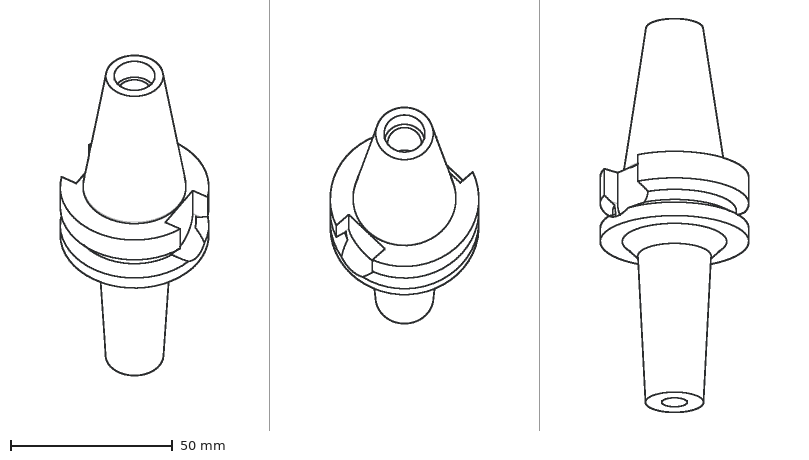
import cadquery as cq

total_length = 123.4
gauge_height = 75.0
flange_top = 74.3
flange_bottom = 53.1
nose_top = 48.2

flange_diameter = 46.0
flange_radius = flange_diameter / 2
gauge_radius = 15.9
taper_end_radius = 8.9
shoulder_radius = 16.2
nose_root_radius = 11.4
nose_end_radius = 9.0

groove_radius = 19.1
groove_floor_bottom = 59.8
groove_floor_top = 63.2
groove_flank_height = 2.3

slot_width = 16.2
slot_bottom = 56.0
slot_face_distance = 16.2

pilot_radius = 6.3
pilot_depth = 7.0
thread_radius = 5.2
thread_depth = 24.1
through_radius = 4.0


def revolved_body():
    """Taper shank, grooved flange and tapered nose as one turned profile."""
    profile = [
        (0, 0),
        (nose_end_radius, 0),
        (nose_root_radius, nose_top),
        (shoulder_radius, flange_bottom),
        (flange_radius, flange_bottom),
        (flange_radius, groove_floor_bottom - groove_flank_height),
        (groove_radius, groove_floor_bottom),
        (groove_radius, groove_floor_top),
        (flange_radius, groove_floor_top + groove_flank_height),
        (flange_radius, flange_top),
        (gauge_radius, flange_top),
        (gauge_radius, gauge_height),
        (taper_end_radius, total_length),
        (0, total_length),
    ]
    return cq.Workplane("XZ").polyline(profile).close().revolve(360, (0, 0, 0), (0, 1, 0))


def drive_slot(side):
    """Round-bottomed slot, open outward and upward, on the given side (-1 or +1) of X."""
    half_width = slot_width / 2
    arc_height = slot_bottom + half_width
    return (
        cq.Workplane("YZ", origin=(side * slot_face_distance, 0, 0))
        .moveTo(-half_width, flange_top)
        .lineTo(-half_width, arc_height)
        .threePointArc((0, slot_bottom), (half_width, arc_height))
        .lineTo(half_width, flange_top)
        .close()
        .extrude(side * flange_radius)
    )


def stepped_bore():
    """Through hole with two larger bores entering from the taper end."""
    bore = cq.Workplane("XY").circle(through_radius).extrude(total_length)
    for radius, depth in [(pilot_radius, pilot_depth), (thread_radius, thread_depth)]:
        step = cq.Workplane("XY", origin=(0, 0, total_length)).circle(radius).extrude(-depth)
        bore = bore.union(step)
    return bore


result = revolved_body().cut(stepped_bore())
for slot_side in (-1, 1):
    result = result.cut(drive_slot(slot_side))